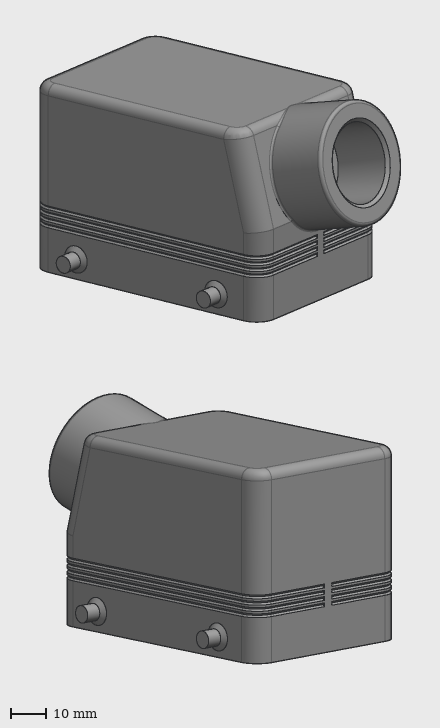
import cadquery as cq
import math

OVERALL_LENGTH = 100.9
OVERALL_WIDTH = 68.0
OVERALL_HEIGHT = 61.2

BODY_LENGTH = 81.9
BODY_WIDTH = 56.2
BODY_HEIGHT = 56.0
CORNER_RADIUS = 6.1
TOP_RADIUS = 3.0
SLOPE_START_HEIGHT = 27.1

TILT = 15.0
NOZZLE_RADIUS = 18.1
NOZZLE_RIM_RADIUS = 1.0
NOZZLE_ROOT_RADIUS = 0.6
BORE_RADIUS = 11.8
BORE_CHAMFER = 1.0
NOZZLE_EMBED = 6.1

MATCH_TOLERANCE = 0.01

GROOVE_COUNT = 4
GROOVE_DEPTH = 0.55
GROOVE_WIDTH = 2 * GROOVE_DEPTH
GROOVE_PITCH = 1.8
LOWEST_GROOVE_HEIGHT = 13.9
GROOVE_GAP = 3.0

PIN_POSITIONS_X = (15.9, 66.0)
PIN_HEIGHT = 6.0
PIN_RADIUS = 2.5
PIN_SEAT_RADIUS = 4.0
PIN_SEAT_HEIGHT = 1.2

tilt_cos = math.cos(math.radians(TILT))
tilt_sin = math.sin(math.radians(TILT))
rim_circle_radius = NOZZLE_RADIUS - NOZZLE_RIM_RADIUS
mouth_x = OVERALL_LENGTH - NOZZLE_RIM_RADIUS - rim_circle_radius * tilt_sin + NOZZLE_RIM_RADIUS * tilt_cos
mouth_z = OVERALL_HEIGHT - NOZZLE_RIM_RADIUS - rim_circle_radius * tilt_cos + NOZZLE_RIM_RADIUS * tilt_sin
nozzle_length = (mouth_x - BODY_LENGTH) * tilt_cos + (mouth_z - SLOPE_START_HEIGHT) * tilt_sin


def make_body():
    """Solid hood with one sloped end wall, rounded corners and a rounded top rim."""
    slope_run = (BODY_HEIGHT - SLOPE_START_HEIGHT) * tilt_sin / tilt_cos
    side_profile = [
        (0, 0),
        (BODY_LENGTH, 0),
        (BODY_LENGTH, SLOPE_START_HEIGHT),
        (BODY_LENGTH - slope_run, BODY_HEIGHT),
        (0, BODY_HEIGHT),
    ]
    block = cq.Workplane("XZ").polyline(side_profile).close().extrude(BODY_WIDTH / 2, both=True)
    leaning = cq.selectors.ParallelDirSelector(cq.Vector(-tilt_sin, 0, tilt_cos))
    corner_edges = block.edges("|Z").add(block.edges(leaning))
    return corner_edges.fillet(CORNER_RADIUS).faces(">Z").edges().fillet(TOP_RADIUS)


def mouth_plane():
    """Plane of the nozzle mouth, its normal pointing outward along the nozzle axis."""
    return cq.Plane(origin=(mouth_x, 0, mouth_z), xDir=(0, 1, 0), normal=(tilt_cos, 0, tilt_sin))


def is_nozzle_root(edge):
    """True for a curved edge that lies on the nozzle cylinder, away from its mouth."""
    point = mouth_plane().toLocalCoords(edge.positionAt(0.5))
    on_cylinder = abs(math.hypot(point.x, point.y) - NOZZLE_RADIUS) < MATCH_TOLERANCE
    return on_cylinder and edge.geomType() != "LINE" and point.z < -NOZZLE_RIM_RADIUS


def add_nozzle(body):
    """Join the nozzle, round its rim and blend its root into the body."""
    nozzle = cq.Workplane(mouth_plane()).circle(NOZZLE_RADIUS).extrude(-(nozzle_length + NOZZLE_EMBED))
    nozzle = nozzle.faces(">X").edges().fillet(NOZZLE_RIM_RADIUS)
    return body.union(nozzle).edges().filter(is_nozzle_root).fillet(NOZZLE_ROOT_RADIUS)


def make_bore():
    """Bore from the mouth to the sloped wall, with a chamfered lip."""
    bore_profile = [
        (0, 0),
        (BORE_RADIUS + BORE_CHAMFER, 0),
        (BORE_RADIUS, -BORE_CHAMFER),
        (BORE_RADIUS, -nozzle_length),
        (0, -nozzle_length),
    ]
    plane = mouth_plane()
    axis_plane = cq.Plane(origin=plane.origin, xDir=plane.xDir, normal=plane.xDir.cross(plane.zDir))
    return cq.Workplane(axis_plane).polyline(bore_profile).close().revolve(360, (0, 0), (0, 1))


def make_groove(outline, height):
    """V-groove cutter swept along the body outline, with a gap at the middle of each end wall."""
    half_width = GROOVE_WIDTH / 2
    mid_length = BODY_LENGTH / 2
    wall = BODY_WIDTH / 2
    v_profile = [
        (-wall, height - half_width),
        (-wall + GROOVE_DEPTH, height),
        (-wall, height + half_width),
    ]
    section = cq.Workplane("YZ", origin=(mid_length, 0, 0)).polyline(v_profile).close()
    ring = section.sweep(outline)
    gap_size = (2 * BODY_LENGTH, GROOVE_GAP, 2 * GROOVE_WIDTH)
    gap = cq.Workplane("XY", origin=(mid_length, 0, height)).box(*gap_size)
    return ring.cut(gap)


def make_pin_pair(x):
    """Two coaxial locking pins, one per side wall, each rising from a conical seat."""
    wall = BODY_WIDTH / 2
    tip = OVERALL_WIDTH / 2
    seat_top = wall + PIN_SEAT_HEIGHT
    half_profile = [
        (0, 0),
        (PIN_SEAT_RADIUS, 0),
        (PIN_SEAT_RADIUS, wall),
        (PIN_RADIUS, seat_top),
        (PIN_RADIUS, tip),
        (0, tip),
    ]
    section = cq.Workplane("XY", origin=(x, 0, PIN_HEIGHT)).polyline(half_profile).close()
    pin = section.revolve(360, (0, 0), (0, 1))
    return pin.union(pin.mirror("XZ"))


hood = make_body()
base_outline = hood.faces("<Z").wires()
result = add_nozzle(hood).cut(make_bore())
for index in range(GROOVE_COUNT):
    result = result.cut(make_groove(base_outline, LOWEST_GROOVE_HEIGHT + index * GROOVE_PITCH))
for pin_x in PIN_POSITIONS_X:
    result = result.union(make_pin_pair(pin_x))